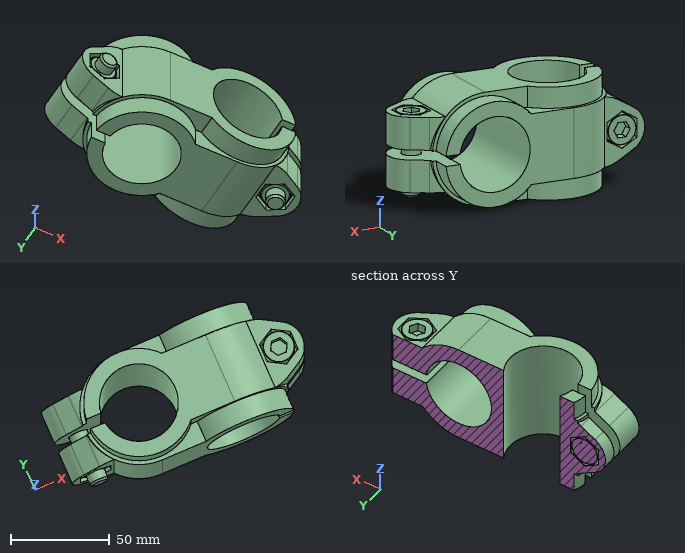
import cadquery as cq
import math

BORE_SPACING = 45.0
BORE_DIAMETER = 40.0
COLLAR_DIAMETER = 56.0
COLLAR_LENGTH = 60.0
BODY_DIAMETER = 60.0
BODY_THICKNESS = 37.5
SLOT_WIDTH = 5.3

EAR_WIDTH = 40.0
EAR_TIP_RADIUS = 13.0
EAR_SHOULDER_RADIUS = 19.0
EAR_SLOPE = math.radians(30)
SCREW_OFFSET = 55.0

SCREW_DIAMETER = 10.0
SCREW_HOLE_DIAMETER = 10.5
SCREW_TIP_DIAMETER = 8.2
SCREW_TIP_LENGTH = 1.2
SCREW_PROTRUSION = 5.0
HEAD_DIAMETER = 15.9
HEAD_TOP_DIAMETER = 15.6
HEAD_HEIGHT = 10.0
SOCKET_ACROSS_FLATS = 8.0
SOCKET_DEPTH = 5.0
HEX_ACROSS_FLATS = 17.0
HEX_POCKET_DEPTH = 10.0
NUT_HEX_HEIGHT = 6.5
NUT_HEIGHT = 8.5
NUT_FACE_DIAMETER = 16.6
NUT_COLLAR_DIAMETER = 15.6
NUT_COLLAR_TOP_DIAMETER = 14.2
NUT_COLLAR_BEVEL_HEIGHT = 0.4
NUT_CHAMFER_ANGLE = math.radians(15)

BORE_X = -BORE_SPACING / 2
SCREW_X = -SCREW_OFFSET
EAR_FACE = EAR_WIDTH / 2
POCKET_FLOOR = EAR_FACE - HEX_POCKET_DEPTH


def across_corners(across_flats):
    return across_flats / math.cos(math.pi / 6)


HEX_DIAMETER = across_corners(HEX_ACROSS_FLATS)


def disc(x, diameter, length):
    """Cylinder along Z at the given X, centred on Z = 0, with its seam facing -X."""
    plane = cq.Plane(origin=(x, 0, -length / 2), xDir=(-1, 0, 0), normal=(0, 0, 1))
    return cq.Workplane(plane).circle(diameter / 2).extrude(length)


def along_screw(start):
    """Workplane on the screw axis at Y = start; it faces +Y, with local x along Z."""
    return cq.Workplane(cq.Plane(origin=(SCREW_X, start, 0), xDir=(0, 0, 1), normal=(0, 1, 0)))


def revolve_on_screw(profile):
    """Revolve (radius, Y) points about the screw axis."""
    outline = cq.Workplane("XY").polyline([(SCREW_X + radius, y) for radius, y in profile]).close()
    return outline.revolve(360, (SCREW_X, 0), (SCREW_X, 1))


def make_ear():
    """Ear with a round tip and sloped flanks that flatten out at the body faces."""
    half_height = BODY_THICKNESS / 2
    sin_slope = math.sin(EAR_SLOPE)
    cos_slope = math.cos(EAR_SLOPE)
    tip_x = SCREW_X - EAR_TIP_RADIUS * sin_slope
    tip_z = EAR_TIP_RADIUS * cos_slope
    shoulder_z = half_height - EAR_SHOULDER_RADIUS * (1 - cos_slope)
    shoulder_x = tip_x + (shoulder_z - tip_z) / math.tan(EAR_SLOPE)
    root_x = shoulder_x + EAR_SHOULDER_RADIUS * sin_slope
    middle_x = root_x - EAR_SHOULDER_RADIUS * math.sin(EAR_SLOPE / 2)
    middle_z = half_height - EAR_SHOULDER_RADIUS * (1 - math.cos(EAR_SLOPE / 2))
    return (
        cq.Workplane("XZ")
        .moveTo(BORE_X, half_height)
        .lineTo(root_x, half_height)
        .threePointArc((middle_x, middle_z), (shoulder_x, shoulder_z))
        .lineTo(tip_x, tip_z)
        .threePointArc((SCREW_X - EAR_TIP_RADIUS, 0), (tip_x, -tip_z))
        .lineTo(shoulder_x, -shoulder_z)
        .threePointArc((middle_x, -middle_z), (root_x, -half_height))
        .lineTo(BORE_X, -half_height)
        .close()
        .extrude(EAR_FACE, both=True)
    )


def make_half_body():
    """Solid material around the Z tube, reaching across to the other tube axis."""
    bridge = cq.Workplane("XY").box(BORE_SPACING, BODY_DIAMETER, BODY_THICKNESS)
    round_end = disc(BORE_X, BODY_DIAMETER, BODY_THICKNESS)
    collar = disc(BORE_X, COLLAR_DIAMETER, COLLAR_LENGTH)
    return bridge.union(round_end).union(collar).union(make_ear())


def make_half_cuts():
    """Tube bore, clamping slot, screw hole and the two hexagonal pockets."""
    bore = disc(BORE_X, BORE_DIAMETER, COLLAR_LENGTH)
    slot_length = SCREW_OFFSET + EAR_TIP_RADIUS + BORE_X
    slot = cq.Workplane("XY").box(slot_length, SLOT_WIDTH, COLLAR_LENGTH)
    slot = slot.translate((BORE_X - slot_length / 2, 0, 0))
    hole = along_screw(-EAR_FACE).circle(SCREW_HOLE_DIAMETER / 2).extrude(EAR_WIDTH)
    cuts = bore.union(slot).union(hole)
    for start in (POCKET_FLOOR, -EAR_FACE):
        cuts = cuts.union(along_screw(start).polygon(6, HEX_DIAMETER).extrude(HEX_POCKET_DEPTH))
    return cuts


def make_screw():
    """Socket head screw: head in the +Y pocket, chamfered tip beyond the -Y ear face."""
    head_top = POCKET_FLOOR + HEAD_HEIGHT
    head_chamfer = (HEAD_DIAMETER - HEAD_TOP_DIAMETER) / 2
    tip = -EAR_FACE - SCREW_PROTRUSION
    screw = revolve_on_screw([
        (0, tip),
        (SCREW_TIP_DIAMETER / 2, tip),
        (SCREW_DIAMETER / 2, tip + SCREW_TIP_LENGTH),
        (SCREW_DIAMETER / 2, POCKET_FLOOR),
        (HEAD_DIAMETER / 2, POCKET_FLOOR),
        (HEAD_DIAMETER / 2, head_top - head_chamfer),
        (HEAD_TOP_DIAMETER / 2, head_top),
        (0, head_top),
    ])
    socket = along_screw(head_top - SOCKET_DEPTH).polygon(6, across_corners(SOCKET_ACROSS_FLATS))
    socket = socket.extrude(SOCKET_DEPTH).rotate((SCREW_X, 0, 0), (SCREW_X, 1, 0), 30)
    return screw.cut(socket)


def make_nut():
    """Lock nut on the floor of the -Y pocket: chamfered hexagon with a bevelled collar."""
    hex_top = -POCKET_FLOOR - NUT_HEX_HEIGHT
    nut_top = -POCKET_FLOOR - NUT_HEIGHT
    corner_radius = HEX_DIAMETER / 2
    face_radius = NUT_FACE_DIAMETER / 2
    collar_radius = NUT_COLLAR_DIAMETER / 2
    collar_top_radius = NUT_COLLAR_TOP_DIAMETER / 2
    corner_drop = (corner_radius - face_radius) * math.tan(NUT_CHAMFER_ANGLE)
    hexagon = along_screw(hex_top).polygon(6, HEX_DIAMETER).extrude(NUT_HEX_HEIGHT)
    chamfered = revolve_on_screw([
        (0, -POCKET_FLOOR),
        (corner_radius, -POCKET_FLOOR),
        (corner_radius, hex_top + corner_drop),
        (face_radius, hex_top),
        (0, hex_top),
    ])
    collar = revolve_on_screw([
        (0, hex_top),
        (collar_radius, hex_top),
        (collar_radius, nut_top + NUT_COLLAR_BEVEL_HEIGHT),
        (collar_top_radius, nut_top),
        (0, nut_top),
    ])
    return hexagon.intersect(chamfered).union(collar)


def other_half(shape):
    """Half a turn about the Y = Z diagonal: swaps Y with Z and reverses X."""
    return shape.rotate((0, 0, 0), (0, 1, 1), 180)


half_body = make_half_body()
half_cuts = make_half_cuts()
fastener = make_screw().union(make_nut())

body = half_body.union(other_half(half_body))
body = body.cut(half_cuts).cut(other_half(half_cuts))
result = body.union(fastener).union(other_half(fastener))